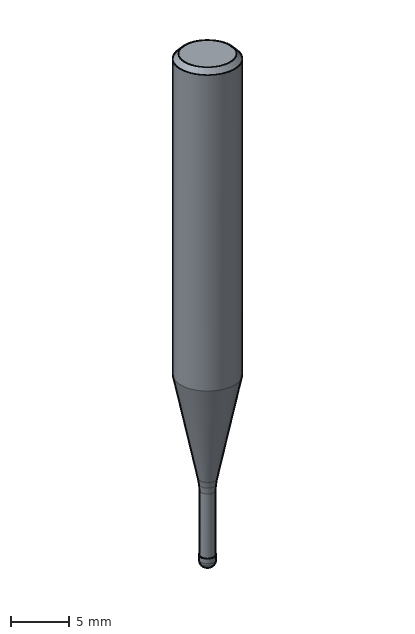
import cadquery as cq

total_length = 50.0
shank_radius = 3.0
top_chamfer = 0.5

head_top = 1.2
neck_top = 7.5
flare_top = 8.1
collar_top = 8.7
cone_top = 18.75

head_radius = 0.75
neck_radius = 0.7
flare_radius = 0.75
collar_radius = 0.85


def revolve_profile(profile):
    """Revolve a closed radius-height outline fully about the Z axis."""
    return profile.close().revolve(360, (0, 0, 0), (0, 1, 0))


def make_cutting_head():
    """Short cylinder with a hemispherical lower end."""
    arc_middle = head_radius * 0.5 ** 0.5
    profile = (
        cq.Workplane("XZ")
        .moveTo(0, 0)
        .threePointArc((arc_middle, head_radius - arc_middle), (head_radius, head_radius))
        .lineTo(head_radius, head_top)
        .lineTo(0, head_top)
    )
    return revolve_profile(profile)


def make_shank():
    """Neck, flare, collar, long cone and chamfered cylindrical shank."""
    profile = (
        cq.Workplane("XZ")
        .moveTo(0, head_top)
        .lineTo(neck_radius, head_top)
        .lineTo(neck_radius, neck_top)
        .lineTo(flare_radius, flare_top)
        .lineTo(collar_radius, collar_top)
        .lineTo(shank_radius, cone_top)
        .lineTo(shank_radius, total_length - top_chamfer)
        .lineTo(shank_radius - top_chamfer, total_length)
        .lineTo(0, total_length)
    )
    return revolve_profile(profile)


cutting_head = make_cutting_head()
shank = make_shank()

result = cq.Compound.makeCompound([cutting_head.val(), shank.val()])